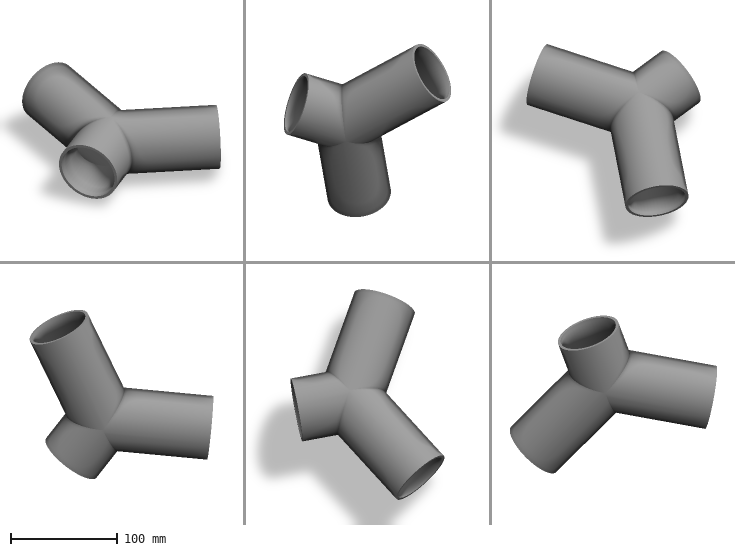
import cadquery as cq
import math

span = 206.1
outer_diameter = 60.5
bore_diameter = 54.8
branch_angle = 30.0
stub_angle = -90.0

angle = math.radians(branch_angle)
branch_length = (span / 2 - outer_diameter / 2 * math.sin(angle)) / math.cos(angle)
stub_length = branch_length / 2

legs = [
    (branch_angle, branch_length),
    (180.0 - branch_angle, branch_length),
    (stub_angle, stub_length),
]


def leg_cylinder(diameter, direction, length):
    """Cylinder from the junction centre, lying in the XY plane."""
    cylinder = cq.Workplane("YZ").circle(diameter / 2).extrude(length)
    return cylinder.rotate((0, 0, 0), (0, 0, 1), direction)


def joined_legs(diameter):
    """Union of all three legs at one diameter."""
    body = cq.Workplane("XY")
    for direction, length in legs:
        body = body.add(leg_cylinder(diameter, direction, length))
    return body.combine()


result = joined_legs(outer_diameter).cut(joined_legs(bore_diameter))